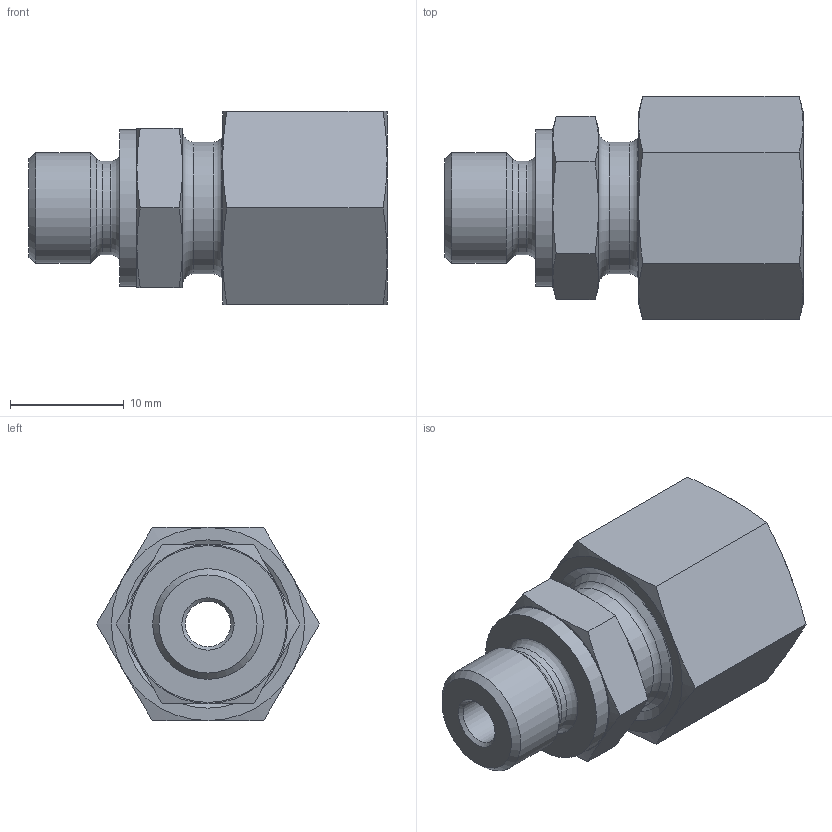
import cadquery as cq
import math


THREAD_END = 5.4
COLLAR_START = 8.0
BODY_HEX_START = 9.5
BODY_HEX_END = 13.5
NUT_START = 17.05
NUT_END = 31.5

THREAD_RADIUS = 9.73 / 2
TIP_CHAMFER_LENGTH = 0.6
TIP_CHAMFER_DEPTH = 0.55
UNDERCUT_RADIUS = 8.2 / 2
UNDERCUT_THREAD_FILLET = 0.8
UNDERCUT_COLLAR_FILLET = 1.0
COLLAR_FILLET_TURN = 60.0

COLLAR_RADIUS = 13.8 / 2

NECK_RADIUS = 11.6 / 2
NECK_FILLET = 1.0
NECK_STRAIGHT_END = 16.2

BODY_HEX_FLATS = 14.0
NUT_FLATS = 17.0
HEX_CHAMFER_ANGLE = 15.0
CHAMFER_CLEARANCE = 1.0

NUT_MOUTH_RADIUS = 14.8 / 2
NUT_MOUTH_HALF_ANGLE = 60.0

BORE_RADIUS = 4.0 / 2
BORE_CHAMFER = 0.3

QUARTER_TURN = 90.0
HALF_QUARTER = QUARTER_TURN / 2
MID_HALF_QUARTER = HALF_QUARTER / 2

ARC_RUN_45 = math.sin(math.radians(HALF_QUARTER))
ARC_RISE_45 = 1 - math.cos(math.radians(HALF_QUARTER))


def arc_point(start_x, start_radius, arc_radius, angle, direction):
    """Point on a concave arc that leaves a cylinder tangentially, after turning by angle degrees."""
    turn = math.radians(angle)
    x = start_x + direction * arc_radius * math.sin(turn)
    radius = start_radius + arc_radius * (1 - math.cos(turn))
    return x, radius


def revolve_about_x(profile):
    return profile.close().revolve(360, (0, 0, 0), (1, 0, 0))


def make_stud():
    """Chamfered thread, undercut and sealing collar."""
    cone_drop = THREAD_RADIUS - UNDERCUT_RADIUS - UNDERCUT_THREAD_FILLET * ARC_RISE_45
    left_floor_x = THREAD_END + cone_drop + UNDERCUT_THREAD_FILLET * ARC_RUN_45
    right_floor_x = COLLAR_START - UNDERCUT_COLLAR_FILLET * math.sin(math.radians(COLLAR_FILLET_TURN))

    def left_arc(angle):
        return arc_point(left_floor_x, UNDERCUT_RADIUS, UNDERCUT_THREAD_FILLET, angle, -1)

    def right_arc(angle):
        return arc_point(right_floor_x, UNDERCUT_RADIUS, UNDERCUT_COLLAR_FILLET, angle, 1)

    profile = (
        cq.Workplane("XY")
        .moveTo(0, 0)
        .lineTo(0, THREAD_RADIUS - TIP_CHAMFER_DEPTH)
        .lineTo(TIP_CHAMFER_LENGTH, THREAD_RADIUS)
        .lineTo(THREAD_END, THREAD_RADIUS)
        .lineTo(*left_arc(HALF_QUARTER))
        .threePointArc(left_arc(MID_HALF_QUARTER), left_arc(0))
        .lineTo(*right_arc(0))
        .threePointArc(right_arc(COLLAR_FILLET_TURN / 2), right_arc(COLLAR_FILLET_TURN))
        .lineTo(COLLAR_START, COLLAR_RADIUS)
        .lineTo(BODY_HEX_START, COLLAR_RADIUS)
        .lineTo(BODY_HEX_START, 0)
    )
    return revolve_about_x(profile)


def mouth_bottom_x():
    """Station where the nut mouth meets the 45 degree cone of the neck."""
    cone_x, cone_radius = arc_point(NECK_STRAIGHT_END, NECK_RADIUS, NECK_FILLET, HALF_QUARTER, 1)
    mouth_slope = math.tan(math.radians(NUT_MOUTH_HALF_ANGLE))
    radial_gap = NUT_MOUTH_RADIUS - cone_radius - (NUT_START - cone_x)
    return NUT_START + radial_gap / (1 + mouth_slope)


def make_neck():
    """Neck with a full fillet at the body hexagon and a 45 degree cone running into the nut mouth."""
    left_floor_x = BODY_HEX_END + NECK_FILLET

    def left_arc(angle):
        return arc_point(left_floor_x, NECK_RADIUS, NECK_FILLET, angle, -1)

    def right_arc(angle):
        return arc_point(NECK_STRAIGHT_END, NECK_RADIUS, NECK_FILLET, angle, 1)

    cone_start_x, cone_start_radius = right_arc(HALF_QUARTER)
    cone_end_radius = cone_start_radius + mouth_bottom_x() - cone_start_x
    profile = (
        cq.Workplane("XY")
        .moveTo(BODY_HEX_END, 0)
        .lineTo(*left_arc(QUARTER_TURN))
        .threePointArc(left_arc(HALF_QUARTER), left_arc(0))
        .lineTo(*right_arc(0))
        .threePointArc(right_arc(MID_HALF_QUARTER), right_arc(HALF_QUARTER))
        .lineTo(mouth_bottom_x(), cone_end_radius)
        .lineTo(mouth_bottom_x(), 0)
    )
    return revolve_about_x(profile)


def make_hexagon(start_x, end_x, flats):
    """Hexagonal prism along X with its corners chamfered at both ends."""
    corner_diameter = flats / math.cos(math.radians(30))
    prism = (
        cq.Workplane("YZ")
        .workplane(offset=start_x)
        .polygon(6, corner_diameter)
        .extrude(end_x - start_x)
    )
    face_radius = flats / 2
    outer_radius = corner_diameter / 2 + CHAMFER_CLEARANCE
    chamfer_length = (outer_radius - face_radius) * math.tan(math.radians(HEX_CHAMFER_ANGLE))
    envelope = (
        cq.Workplane("XY")
        .moveTo(start_x, 0)
        .lineTo(start_x, face_radius)
        .lineTo(start_x + chamfer_length, outer_radius)
        .lineTo(end_x - chamfer_length, outer_radius)
        .lineTo(end_x, face_radius)
        .lineTo(end_x, 0)
    )
    return prism.intersect(revolve_about_x(envelope))


def make_nut():
    """Union nut with a conical mouth facing the body."""
    depth = mouth_bottom_x() - NUT_START
    radius_loss = depth * math.tan(math.radians(NUT_MOUTH_HALF_ANGLE))
    mouth = (
        cq.Workplane("XY")
        .moveTo(NUT_START, 0)
        .lineTo(NUT_START, NUT_MOUTH_RADIUS)
        .lineTo(mouth_bottom_x(), NUT_MOUTH_RADIUS - radius_loss)
        .lineTo(mouth_bottom_x(), 0)
    )
    return make_hexagon(NUT_START, NUT_END, NUT_FLATS).cut(revolve_about_x(mouth))


def make_bore():
    """Through bore with a chamfered entry at the stud tip."""
    profile = (
        cq.Workplane("XY")
        .moveTo(0, 0)
        .lineTo(0, BORE_RADIUS + BORE_CHAMFER)
        .lineTo(BORE_CHAMFER, BORE_RADIUS)
        .lineTo(NUT_END, BORE_RADIUS)
        .lineTo(NUT_END, 0)
    )
    return revolve_about_x(profile)


result = (
    make_stud()
    .union(make_hexagon(BODY_HEX_START, BODY_HEX_END, BODY_HEX_FLATS))
    .union(make_neck())
    .union(make_nut())
    .cut(make_bore())
)